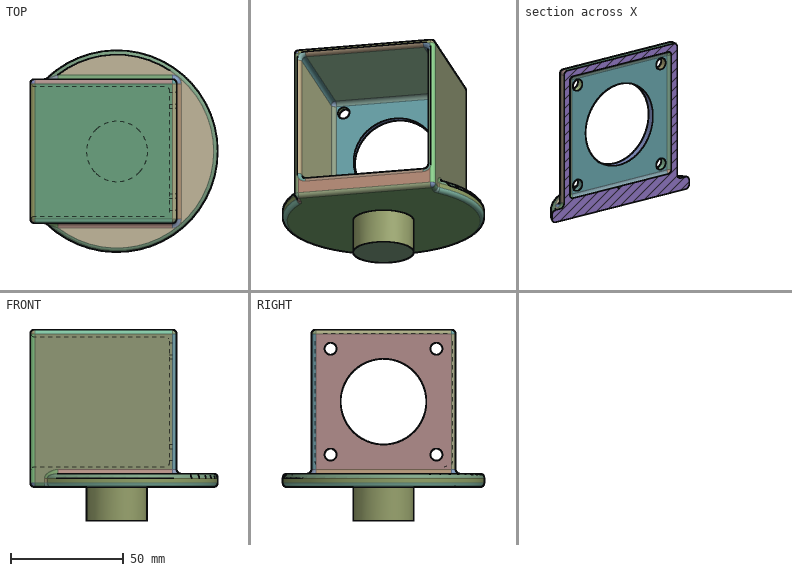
import cadquery as cq

round_radius = 2.0
flange_diameter = 89.8
flange_thickness = 6.0
boss_diameter = 27.0
boss_length = 15.0
opening_size = 57.6
wall = 3.2
box_length = 65.1
box_height = 70.0
open_end_x = -38.5
pilot_diameter = 38.0
bolt_diameter = 5.2
bolt_spacing = 47.0

box_width = opening_size + 2 * wall
floor_thickness = box_height - wall - opening_size
pocket_depth = box_length - wall
pocket_center_z = floor_thickness + opening_size / 2


def block_along_x(start_x, length, width, height, center_z):
    """Block starting at start_x, centred on Y = 0 and on center_z."""
    block = cq.Workplane("XY").box(length, width, height, centered=(False, True, True))
    return block.translate((start_x, 0, center_z))


def make_outer_body():
    """Box joined to the flange, with all outside and junction edges rounded."""
    box = block_along_x(open_end_x, box_length, box_width, box_height, box_height / 2)
    flange = cq.Workplane("XY").circle(flange_diameter / 2).extrude(flange_thickness)
    flange_limit = block_along_x(
        open_end_x, flange_diameter, flange_diameter, flange_thickness, flange_thickness / 2
    )
    return box.union(flange.intersect(flange_limit)).clean().edges().fillet(round_radius)


def make_pocket():
    """Square pocket with rounded corners along its length and at its end wall."""
    pocket = block_along_x(open_end_x, pocket_depth, opening_size, opening_size, pocket_center_z)
    pocket = pocket.edges("|X or >X").fillet(round_radius)
    return pocket


def make_mouth_flare():
    """Material removed to round the rim of the pocket mouth."""
    flare_size = opening_size + 2 * round_radius
    frame_size = flare_size + 2 * round_radius
    frame_depth = 2 * round_radius
    frame = block_along_x(open_end_x, frame_depth, frame_size, frame_size, pocket_center_z)
    frame = frame.cut(make_pocket())
    inside_rim = cq.selectors.BoxSelector(
        (open_end_x - round_radius, -flare_size / 2, pocket_center_z - flare_size / 2),
        (open_end_x + round_radius / 2, flare_size / 2, pocket_center_z + flare_size / 2),
    )
    frame = frame.faces("<X").edges(inside_rim).fillet(round_radius)
    flare = block_along_x(open_end_x, round_radius, flare_size, flare_size, pocket_center_z)
    return flare.cut(frame)


def make_end_wall_holes():
    """Central pilot hole and four bolt holes through the end wall."""
    end_wall = cq.Workplane("YZ", origin=(0, 0, pocket_center_z))
    pilot = end_wall.circle(pilot_diameter / 2).extrude(box_length)
    bolts = end_wall.rect(bolt_spacing, bolt_spacing, forConstruction=True).vertices()
    return pilot.union(bolts.circle(bolt_diameter / 2).extrude(box_length))


boss = cq.Workplane("XY").circle(boss_diameter / 2).extrude(-boss_length)

result = (
    make_outer_body()
    .cut(make_pocket())
    .cut(make_mouth_flare())
    .cut(make_end_wall_holes())
    .union(boss)
)